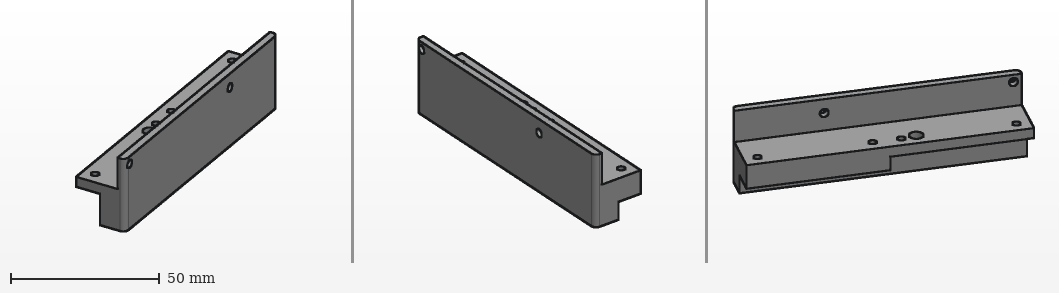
import cadquery as cq

length = 99.8
width = 19.3
height = 28.0

wall_thickness = 3.0
wall_rise = 12.1
leg_width = 10.0
thin_shelf = 3.9
thick_shelf = 9.1
edge_radius = 2.0

shelf_top = height - wall_rise
shelf_overhang = width - leg_width
half_length = length / 2

shelf_hole_diameter = 2.8
shelf_hole_x = 4.5
shelf_hole_end_gap = 5.0
shelf_hole_pair_offset = 5.0
large_hole_diameter = 4.9
large_hole_x = 5.3
large_hole_y = -10.4

wall_hole_diameter = 3.0
corner_hole_inset = 2.9
inner_hole_y = 18.7
inner_hole_drop = 5.4


def block(x_start, x_end, y_start, y_end, z_start, z_end):
    """Box given by its limits along each axis."""
    size = (x_end - x_start, y_end - y_start, z_end - z_start)
    return cq.Workplane("XY").box(*size, centered=False).translate((x_start, y_start, z_start))


def shelf_hole(x, y, diameter):
    """Vertical cutter spanning the full height."""
    return cq.Workplane("XY").center(x, y).circle(diameter / 2).extrude(height)


def wall_hole(y, z):
    """Cutter along X spanning the full width."""
    return cq.Workplane("YZ").center(y, z).circle(wall_hole_diameter / 2).extrude(width)


leg = block(shelf_overhang, width, -half_length, half_length, 0, shelf_top)
wall = block(width - wall_thickness, width, -half_length, half_length, 0, height)
back = leg.union(wall).edges("|Z and >X").fillet(edge_radius)

shelf = block(0, shelf_overhang, -half_length, half_length, shelf_top - thin_shelf, shelf_top)
thickening = block(0, shelf_overhang, 0, half_length, shelf_top - thick_shelf, shelf_top)
result = back.union(shelf).union(thickening)

end_hole_y = half_length - shelf_hole_end_gap
for y in (-end_hole_y, -shelf_hole_pair_offset, shelf_hole_pair_offset, end_hole_y):
    result = result.cut(shelf_hole(shelf_hole_x, y, shelf_hole_diameter))
result = result.cut(shelf_hole(large_hole_x, large_hole_y, large_hole_diameter))

result = result.cut(wall_hole(corner_hole_inset - half_length, height - corner_hole_inset))
result = result.cut(wall_hole(inner_hole_y, height - inner_hole_drop))